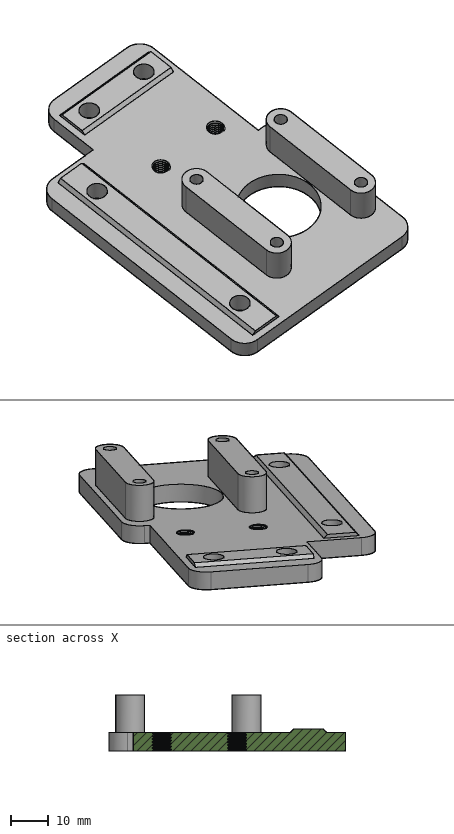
import cadquery as cq
import math

plate_length = 99.2
plate_width = 63.0
plate_thickness = 5.0
corner_radius = 5.0
body_start_x = 20.1
upper_step_x = 45.3
tab_bottom_y = 19.9
tab_top_y = 56.5

pad_height = 1.0
pad_base_width = 9.7
pad_top_width = pad_base_width - 2 * pad_height
pad_edge_offset = 9.9
pad_end_margin = 2.0
pad_hole_diameter = 5.5
tab_hole_spacing = 20.0
body_hole_spacing = 55.1

motor_x = 68.6
motor_y = 41.9
motor_opening_diameter = 22.5
motor_hole_spacing = 31.0
motor_hole_diameter = 3.5
riser_height = 10.0
riser_width = 7.7

threaded_x = 36.9
threaded_y = 38.9
threaded_spacing = 20.0
thread_minor_diameter = 4.3
thread_major_diameter = 5.0
thread_pitch = 0.8
thread_mouth_width = 0.6
thread_root_width = 0.1
thread_overlap = 0.05
thread_start_angle = 90.0

total_height = plate_thickness + riser_height
tab_middle_y = (tab_bottom_y + tab_top_y) / 2
body_middle_x = (body_start_x + plate_length) / 2


def spaced_pair(middle, spacing):
    """Two positions placed evenly about a middle value."""
    return (middle - spacing / 2, middle + spacing / 2)


def base_plate():
    """Stepped plate with its outside corners rounded and inside corners sharp."""
    outline = [
        (0, tab_bottom_y),
        (body_start_x, tab_bottom_y),
        (body_start_x, 0),
        (plate_length, 0),
        (plate_length, plate_width),
        (upper_step_x, plate_width),
        (upper_step_x, tab_top_y),
        (0, tab_top_y),
    ]
    inside_corners = [(body_start_x, tab_bottom_y), (upper_step_x, tab_top_y)]
    outside_corners = [corner for corner in outline if corner not in inside_corners]
    plate = cq.Workplane("XY").polyline(outline).close().extrude(plate_thickness)
    for x, y in outside_corners:
        corner_edge = cq.NearestToPointSelector((x, y, plate_thickness / 2))
        plate = plate.edges("|Z").edges(corner_edge).fillet(corner_radius)
    return plate


def pad(length):
    """Pad centred on the origin, running along X, with its base on Z = 0."""
    section = [
        (-pad_base_width / 2, 0),
        (pad_base_width / 2, 0),
        (pad_top_width / 2, pad_height),
        (-pad_top_width / 2, pad_height),
    ]
    return cq.Workplane("YZ").polyline(section).close().extrude(length / 2, both=True)


def riser(y):
    """Round-ended block carrying one row of motor holes."""
    return (
        cq.Workplane("XY", origin=(motor_x, y, plate_thickness))
        .slot2D(motor_hole_spacing + riser_width, riser_width)
        .extrude(riser_height)
    )


def drill(points, diameter):
    """Cylinders passing through the full height at the given points."""
    return cq.Workplane("XY").pushPoints(points).circle(diameter / 2).extrude(total_height)


def thread_groove():
    """Right-hand V groove about the Z axis, running past both plate faces."""
    inner_radius = thread_minor_diameter / 2 - thread_overlap
    groove_depth = (thread_major_diameter - thread_minor_diameter) / 2
    flank_slope = (thread_mouth_width - thread_root_width) / 2 / groove_depth
    inner_half_width = thread_mouth_width / 2 + thread_overlap * flank_slope
    outer_radius = thread_major_diameter / 2
    turns = math.ceil(plate_thickness / thread_pitch) + 2
    helix = cq.Wire.makeHelix(thread_pitch, turns * thread_pitch, inner_radius)
    groove = (
        cq.Workplane("XZ")
        .polyline([
            (inner_radius, -inner_half_width),
            (outer_radius, -thread_root_width / 2),
            (outer_radius, thread_root_width / 2),
            (inner_radius, inner_half_width),
        ])
        .close()
        .sweep(cq.Workplane(helix), isFrenet=True)
    )
    return groove.rotate((0, 0, 0), (0, 0, 1), thread_start_angle).translate((0, 0, -thread_pitch))


result = base_plate()
tab_pad = pad(tab_top_y - tab_bottom_y - 2 * pad_end_margin).rotate((0, 0, 0), (0, 0, 1), 90)
body_pad = pad(plate_length - body_start_x - 2 * pad_end_margin)
result = result.union(tab_pad.translate((pad_edge_offset, tab_middle_y, plate_thickness)))
result = result.union(body_pad.translate((body_middle_x, pad_edge_offset, plate_thickness)))
motor_hole_xs = spaced_pair(motor_x, motor_hole_spacing)
motor_hole_ys = spaced_pair(motor_y, motor_hole_spacing)
for riser_y in motor_hole_ys:
    result = result.union(riser(riser_y))

tab_holes = [(pad_edge_offset, y) for y in spaced_pair(tab_middle_y, tab_hole_spacing)]
body_holes = [(x, pad_edge_offset) for x in spaced_pair(body_middle_x, body_hole_spacing)]
motor_holes = [(x, y) for x in motor_hole_xs for y in motor_hole_ys]
result = result.cut(drill(tab_holes + body_holes, pad_hole_diameter))
result = result.cut(drill(motor_holes, motor_hole_diameter))
result = result.cut(drill([(motor_x, motor_y)], motor_opening_diameter))

threaded_holes = [(threaded_x, y) for y in spaced_pair(threaded_y, threaded_spacing)]
groove_cutter = thread_groove()
for x, y in threaded_holes:
    result = result.cut(groove_cutter.translate((x, y, 0)))
result = result.cut(drill(threaded_holes, thread_minor_diameter))